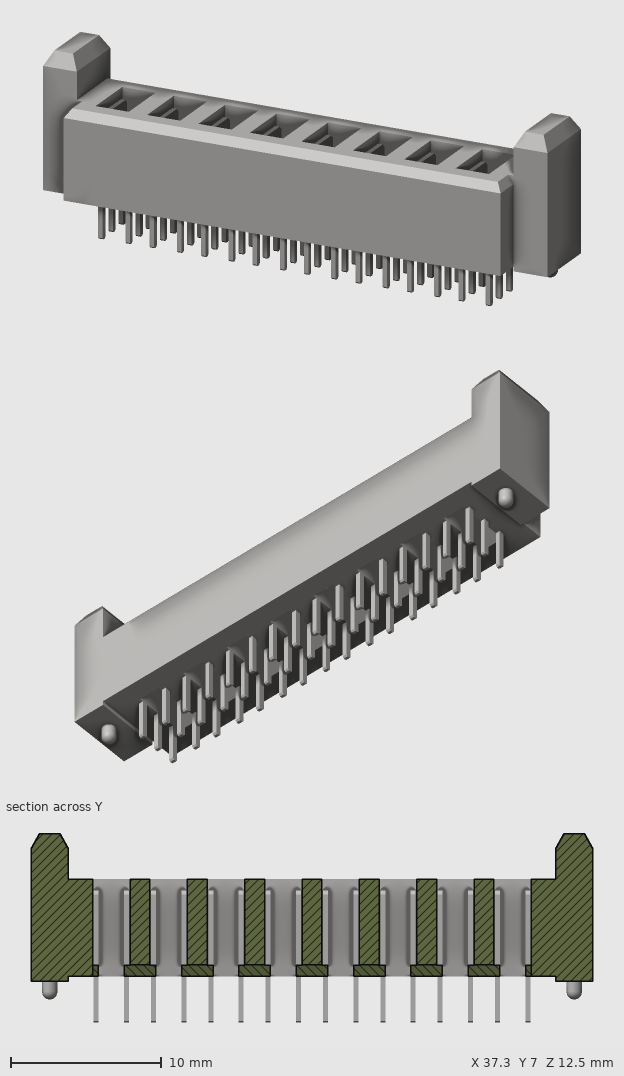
import cadquery as cq

LENGTH = 37.25
OVERALL_HEIGHT = 12.5

POST_WIDTH = 2.5
POST_DEPTH = 5.03
POST_HEIGHT = 9.8
POST_TAPER_HEIGHT = 1.0
POST_TAPER_INSET = 0.55

PEG_DIAMETER = 1.0
PEG_LENGTH = 1.2
PEG_Y = -2.05

BAR_LENGTH = LENGTH - 2 * POST_WIDTH
BAR_DEPTH = 7.0
BAR_BOTTOM = 0.35
BAR_TOP = 6.78
BEVEL_DROP = 0.6
BEVEL_RUN_Y = 0.45
BEVEL_RUN_X = 0.4

SLOT_COUNT = 8
SLOT_PITCH = 3.8
SLOT_WIDTH = 2.45
SLOT_DEPTH = 4.02
SLOT_Y = -3.45
SLOT_CENTRES = [(i - (SLOT_COUNT - 1) / 2) * SLOT_PITCH for i in range(SLOT_COUNT)]

CARRIER_LENGTH = (SLOT_COUNT - 1) * SLOT_PITCH + SLOT_WIDTH
BASE_THICKNESS = 0.75
BASE_MARGIN = 0.75
BASE_DEPTH = SLOT_DEPTH + 2 * BASE_MARGIN
CONTACT_THICKNESS = 0.35
CONTACT_SPACING = 2.0
STRIP_END_GAP = 0.07
STRIP_DEPTH = SLOT_DEPTH - 2 * STRIP_END_GAP
STRIP_SETBACK = 0.75
STRIP_TOP = BAR_TOP - STRIP_SETBACK
STRIP_BEVEL = 0.25
PIN_DEPTH = 0.4
PIN_TIP_BEVEL = 0.1
PIN_ROWS = 3
PIN_ROW_PITCH = 1.53
PIN_TIP = POST_HEIGHT - OVERALL_HEIGHT


def box(x_size, y_size, z_bottom, z_top, x=0.0, y=0.0):
    """Upright box centred on (x, y) between two heights."""
    return cq.Workplane().box(x_size, y_size, z_top - z_bottom).translate((x, y, (z_bottom + z_top) / 2))


def make_post(x):
    """Rectangular post with a tapered head and a round-ended peg underneath."""
    y = -POST_DEPTH / 2
    shoulder = POST_HEIGHT - POST_TAPER_HEIGHT
    post = box(POST_WIDTH, POST_DEPTH, 0, shoulder, x, y)
    head = (
        cq.Workplane("XY", origin=(x, y, shoulder))
        .rect(POST_WIDTH, POST_DEPTH)
        .workplane(offset=POST_TAPER_HEIGHT)
        .rect(POST_WIDTH - 2 * POST_TAPER_INSET, POST_DEPTH - 2 * POST_TAPER_INSET)
        .loft(ruled=True)
    )
    radius = PEG_DIAMETER / 2
    straight = PEG_LENGTH - radius
    peg = cq.Workplane("XY", origin=(x, PEG_Y, 0)).circle(radius).extrude(-straight)
    tip = cq.Workplane("XY", origin=(x, PEG_Y, -straight)).sphere(radius)
    return post.union(head).union(peg.union(tip))


def make_bar():
    """Bar with bevelled top edges; its end bevels reach back only to the posts."""
    shoulder = BAR_TOP - BEVEL_DROP
    profile = [
        (0, BAR_BOTTOM),
        (0, shoulder),
        (-BEVEL_RUN_Y, BAR_TOP),
        (BEVEL_RUN_Y - BAR_DEPTH, BAR_TOP),
        (-BAR_DEPTH, shoulder),
        (-BAR_DEPTH, BAR_BOTTOM),
    ]
    bar = cq.Workplane("YZ").polyline(profile).close().extrude(BAR_LENGTH / 2, both=True)
    end = BAR_LENGTH / 2
    for side in (-1, 1):
        corner = [(side * end, shoulder), (side * end, BAR_TOP), (side * (end - BEVEL_RUN_X), BAR_TOP)]
        bevel = (
            cq.Workplane("XZ", origin=(0, -POST_DEPTH, 0)).polyline(corner).close()
            .extrude(BAR_DEPTH - POST_DEPTH)
        )
        bar = bar.cut(bevel)
    return bar


def make_housing():
    """Bar with its posts, open slots and the floor recess that holds the contact carrier."""
    housing = make_bar()
    post_x = (LENGTH - POST_WIDTH) / 2
    for side in (-1, 1):
        housing = housing.union(make_post(side * post_x))
    for x in SLOT_CENTRES:
        housing = housing.cut(box(SLOT_WIDTH, SLOT_DEPTH, BAR_BOTTOM, BAR_TOP, x, SLOT_Y))
    recess = box(CARRIER_LENGTH, BASE_DEPTH, BAR_BOTTOM, BAR_BOTTOM + BASE_THICKNESS, 0, SLOT_Y)
    return housing.cut(recess)


def make_strip(x):
    """Upright contact strip inside a slot, bevelled at both ends of its top edge."""
    strip = box(CONTACT_THICKNESS, STRIP_DEPTH, BAR_BOTTOM, STRIP_TOP, x, SLOT_Y)
    return strip.edges(">Z and |X").chamfer(STRIP_BEVEL)


def make_pin(x, y):
    """Flat solder pin below the base plate, bevelled on the two narrow sides of its tip."""
    pin = box(CONTACT_THICKNESS, PIN_DEPTH, PIN_TIP, BAR_BOTTOM, x, y)
    return pin.edges("<Z and |X").chamfer(PIN_TIP_BEVEL)


def make_carrier():
    """Windowed base plate carrying a pair of contact strips, with their pins, at every slot."""
    base_top = BAR_BOTTOM + BASE_THICKNESS
    opening = CONTACT_SPACING - CONTACT_THICKNESS
    carrier = box(CARRIER_LENGTH, BASE_DEPTH, BAR_BOTTOM, base_top, 0, SLOT_Y)
    for slot_x in SLOT_CENTRES:
        carrier = carrier.cut(box(opening, SLOT_DEPTH, BAR_BOTTOM, base_top, slot_x, SLOT_Y))
        for side in (-1, 1):
            x = slot_x + side * CONTACT_SPACING / 2
            carrier = carrier.union(make_strip(x))
            for row in range(PIN_ROWS):
                y = SLOT_Y + (row - (PIN_ROWS - 1) / 2) * PIN_ROW_PITCH
                carrier = carrier.union(make_pin(x, y))
    return carrier


housing = make_housing()
carrier = make_carrier()
result = cq.Compound.makeCompound([housing.val(), carrier.val()])